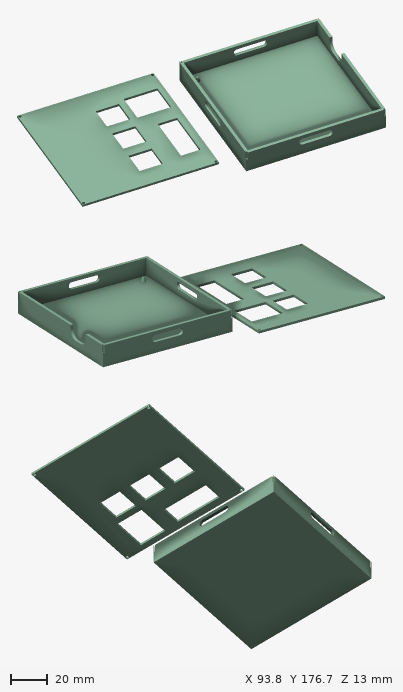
import cadquery as cq

ON_GROUND = (True, True, False)

TRAY_SIDE = 83.9
TRAY_HEIGHT = 13.0
WALL = 1.8
FLOOR = 2.5

SLOT_LENGTH = 20.0
SLOT_HEIGHT = 4.2
SLOT_CORNER_RADIUS = 2.0
SLOT_CENTRE_Z = 8.7

NOTCH_WIDTH = 14.8
NOTCH_DEPTH = 7.6
NOTCH_CORNER_RADIUS = 5.0
NOTCH_CENTRE_X = -17.5

CORNER_HOLE_DIAMETER = 1.25
CORNER_HOLE_DEPTH = 4.8
CORNER_HOLE_INSET = 0.57

PEG_BASE_DIAMETER = 3.2
PEG_TOP_DIAMETER = 1.25
PEG_HEIGHT = 2.6
PEG_SPACING = 69.2
PEG_CENTRE_Y = -34.6

PLATE_SIDE = 82.0
PLATE_THICKNESS = 1.5
PLATE_GAP = 10.8
PLATE_CENTRE_X = -10.8
PLATE_CENTRE_Y = -(TRAY_SIDE + PLATE_SIDE) / 2 - PLATE_GAP
PLATE_HOLE_DIAMETER = 1.8
PLATE_HOLE_INSET = 1.15

KEY_SIZE = 14.0
KEY_PITCH = 20.5
KEY_ROW_X = 1.6
KEY_ROW_Y = 6.0
DISPLAY_OPENING = (29.1, 11.7, 12.7, 30.5)
TALL_OPENING = (17.1, 20.3, -20.0, 27.2)


def corner_points(side, inset):
    """Four points set in from the corners of a square centred on the origin."""
    reach = side / 2 - inset
    return [(x, y) for x in (-reach, reach) for y in (-reach, reach)]


def hand_slot(through_length):
    """Rounded slot cutter running along Y, centred on the origin."""
    cutter = cq.Workplane("XY").box(SLOT_LENGTH, through_length, SLOT_HEIGHT)
    return cutter.edges("|Y").fillet(SLOT_CORNER_RADIUS)


def rim_notch():
    """Open-topped notch cutter with rounded lower corners, for the +Y wall."""
    cutter = (
        cq.Workplane("XY")
        .box(NOTCH_WIDTH, 2 * WALL, NOTCH_DEPTH, centered=ON_GROUND)
        .edges("|Y and <Z")
        .fillet(NOTCH_CORNER_RADIUS)
    )
    return cutter.translate((NOTCH_CENTRE_X, (TRAY_SIDE - WALL) / 2, TRAY_HEIGHT - NOTCH_DEPTH))


def floor_peg():
    """Tapered peg with its base on the origin."""
    return cq.Workplane(
        cq.Solid.makeCone(PEG_BASE_DIAMETER / 2, PEG_TOP_DIAMETER / 2, PEG_HEIGHT)
    )


def make_tray():
    """Open square tray with hand slots, rim notch, corner screw holes and floor pegs."""
    inside = TRAY_SIDE - 2 * WALL
    tray = cq.Workplane("XY").box(TRAY_SIDE, TRAY_SIDE, TRAY_HEIGHT, centered=ON_GROUND)
    cavity = cq.Workplane("XY").box(inside, inside, TRAY_HEIGHT, centered=ON_GROUND)
    tray = tray.cut(cavity.translate((0, 0, FLOOR)))

    front_slot = hand_slot(2 * WALL).translate((0, -(TRAY_SIDE - WALL) / 2, SLOT_CENTRE_Z))
    side_slots = hand_slot(2 * TRAY_SIDE).rotate((0, 0, 0), (0, 0, 1), 90)
    tray = tray.cut(front_slot).cut(side_slots.translate((0, 0, SLOT_CENTRE_Z)))
    tray = tray.cut(rim_notch())

    corner_holes = (
        cq.Workplane("XY")
        .workplane(offset=TRAY_HEIGHT - CORNER_HOLE_DEPTH)
        .pushPoints(corner_points(TRAY_SIDE, CORNER_HOLE_INSET))
        .circle(CORNER_HOLE_DIAMETER / 2)
        .extrude(CORNER_HOLE_DEPTH)
    )
    tray = tray.cut(corner_holes)

    for x in (-PEG_SPACING / 2, PEG_SPACING / 2):
        tray = tray.union(floor_peg().translate((x, PEG_CENTRE_Y, FLOOR)))
    return tray


def make_plate():
    """Flat square cover plate with corner screw holes and five rectangular openings."""
    plate = cq.Workplane("XY").rect(PLATE_SIDE, PLATE_SIDE).extrude(PLATE_THICKNESS)
    plate = (
        plate.faces(">Z")
        .workplane()
        .pushPoints(corner_points(PLATE_SIDE, PLATE_HOLE_INSET))
        .hole(PLATE_HOLE_DIAMETER)
    )
    keys = [(KEY_SIZE, KEY_SIZE, KEY_ROW_X + i * KEY_PITCH, KEY_ROW_Y) for i in (-1, 0, 1)]
    for width, height, x, y in [DISPLAY_OPENING, TALL_OPENING] + keys:
        opening = cq.Workplane("XY").center(x, y).rect(width, height).extrude(PLATE_THICKNESS)
        plate = plate.cut(opening)
    return plate.translate((PLATE_CENTRE_X, PLATE_CENTRE_Y, 0))


tray = make_tray()
plate = make_plate()

result = cq.Compound.makeCompound([tray.val(), plate.val()])